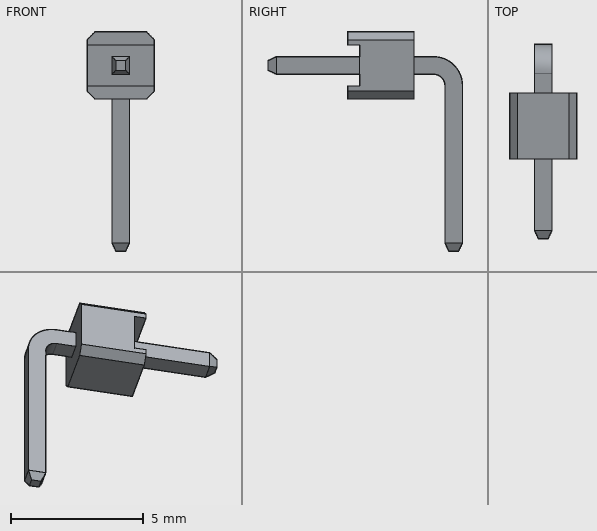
import cadquery as cq

housing_size = 2.54
housing_depth = 2.5
housing_chamfer = 0.31
channel_depth = 0.45
channel_height = 1.53

pin_width = 0.67
tip_length = 0.32
tip_width = 0.36
front_reach = 3.0
overall_depth = 7.33
overall_height = 8.27
bend_outer_radius = 1.09
bend_inner_radius = bend_outer_radius - pin_width

half_housing = housing_size / 2
half_pin = pin_width / 2
front_y = -housing_depth / 2 - front_reach
rear_y = front_y + overall_depth
bottom_z = half_housing - overall_height
bend_y = rear_y - bend_outer_radius
bend_z = half_pin - bend_outer_radius


def make_housing():
    block = cq.Workplane("XY").box(housing_size, housing_depth, housing_size)
    block = block.edges("|Y").chamfer(housing_chamfer)
    channel = cq.Workplane("XY").box(housing_size, channel_depth, channel_height)
    return block.cut(channel.translate((0, (channel_depth - housing_depth) / 2, 0)))


def make_bent_bar():
    """Pin between its two tapered tips, extruded from its YZ side profile."""
    outer_mid = bend_outer_radius * 0.5**0.5
    inner_mid = bend_inner_radius * 0.5**0.5
    return (
        cq.Workplane("YZ")
        .moveTo(front_y + tip_length, half_pin)
        .lineTo(bend_y, half_pin)
        .threePointArc((bend_y + outer_mid, bend_z + outer_mid), (rear_y, bend_z))
        .lineTo(rear_y, bottom_z + tip_length)
        .lineTo(rear_y - pin_width, bottom_z + tip_length)
        .lineTo(rear_y - pin_width, bend_z)
        .threePointArc((bend_y + inner_mid, bend_z + inner_mid), (bend_y, -half_pin))
        .lineTo(front_y + tip_length, -half_pin)
        .close()
        .extrude(half_pin, both=True)
    )


def make_tip(base_center, direction):
    """Square taper running from the end of the bar along the given direction."""
    base = cq.Plane(origin=base_center, xDir=(1, 0, 0), normal=direction)
    return (
        cq.Workplane(base)
        .rect(pin_width, pin_width)
        .workplane(offset=tip_length)
        .rect(tip_width, tip_width)
        .loft()
    )


front_tip = make_tip((0, front_y + tip_length, 0), (0, -1, 0))
lower_tip = make_tip((0, rear_y - half_pin, bottom_z + tip_length), (0, 0, -1))

result = make_housing().union(make_bent_bar()).union(front_tip).union(lower_tip)